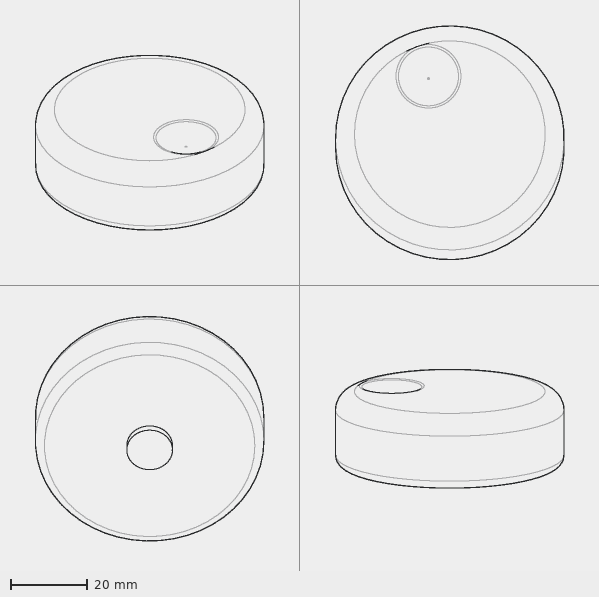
import cadquery as cq
import math

body_diameter = 60.0
body_height = 19.5
top_round = 5.0
bottom_round = 2.4

boss_diameter = 12.0
boss_height = 2.2

dimple_rim_radius = 8.5
dimple_depth = 3.0
dimple_floor_radius = 0.25
rim_round = 1.0
dimple_offset = body_diameter / 2 - top_round - dimple_rim_radius


def make_body():
    body = cq.Workplane("XY").circle(body_diameter / 2).extrude(body_height)
    body = body.faces(">Z").edges().fillet(top_round)
    return body.faces("<Z").edges().fillet(bottom_round)


def make_boss():
    return cq.Workplane("XY").circle(boss_diameter / 2).extrude(-boss_height)


def make_dimple():
    """Spherical bowl with a tiny flat floor and a rim rounded outward into the top face."""
    sphere_radius = (dimple_rim_radius**2 / dimple_depth + dimple_depth) / 2 - rim_round
    sphere_center = sphere_radius - dimple_depth
    rim_angle = math.asin(dimple_rim_radius / (sphere_radius + rim_round))

    def bowl_point(angle):
        return sphere_radius * math.sin(angle), sphere_center - sphere_radius * math.cos(angle)

    def rim_point(angle):
        return dimple_rim_radius - rim_round * math.sin(angle), rim_round * (math.cos(angle) - 1)

    floor_edge = bowl_point(math.asin(dimple_floor_radius / sphere_radius))
    profile = (
        cq.Workplane("XZ")
        .lineTo(dimple_rim_radius, 0)
        .threePointArc(rim_point(rim_angle / 2), rim_point(rim_angle))
        .threePointArc(bowl_point(rim_angle / 2), floor_edge)
        .lineTo(0, floor_edge[1])
        .close()
    )
    return profile.revolve(360, (0, 0), (0, 1)).translate((dimple_offset, 0, body_height))


result = make_body().union(make_boss()).cut(make_dimple())